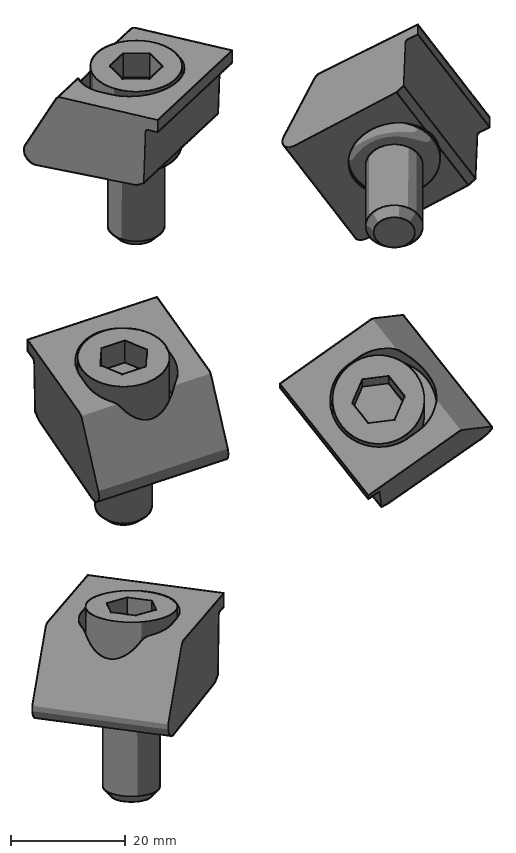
import cadquery as cq


head_diameter = 16.0
head_top = 35.0
head_height = 10.0
shank_diameter = 10.0
tip_chamfer_width = 1.4
tip_chamfer_height = 1.58
hex_across_flats = 8.0
hex_depth = 5.0
head_bottom = head_top - head_height

washer_bottom = 17.18
washer_diameter = head_diameter
rim_radius = 1.75
washer_height = 2 * rim_radius
washer_top = washer_bottom + washer_height

clamp_width = 25.4
toe_radius = 2.35
shoulder_radius = 1.4
lip_radius = 0.63
toe_corner = (-17.1, 16.55)
shoulder_corner = (-8.4, 33.0)
lip_top = (11.92, 35.05)
lip_bottom = (11.92, 32.5)
lip_root = (9.45, 32.3)
heel_upper = (9.08, 20.85)
heel_lower = (7.65, 19.95)

slot_diameter = 16.83
slot_travel = 2.17


def cylinder(diameter, bottom, top):
    """Cylinder on the screw axis between two heights."""
    return cq.Workplane("XY").workplane(offset=bottom).circle(diameter / 2).extrude(top - bottom)


def edge_at(point):
    """Selector for the edge along Y that passes through an (X, Z) point."""
    return cq.selectors.NearestToPointSelector((point[0], 0, point[1]))


def make_head_slot():
    """Round-ended slot that lets the clamp slide under the screw head."""
    return (
        cq.Workplane("XY")
        .workplane(offset=head_bottom)
        .center(-slot_travel / 2, 0)
        .slot2D(slot_diameter + slot_travel, slot_diameter)
        .extrude(head_height)
    )


def make_clamp():
    """Slanted clamp block with a head slot, a screw bore and a washer recess."""
    outline = [toe_corner, shoulder_corner, lip_top, lip_bottom, lip_root, heel_upper, heel_lower]
    block = cq.Workplane("XZ").polyline(outline).close().extrude(clamp_width / 2, both=True)
    roundings = [
        (toe_corner, toe_radius),
        (shoulder_corner, shoulder_radius),
        (lip_root, lip_radius),
    ]
    for corner, radius in roundings:
        block = block.edges("|Y").edges(edge_at(corner)).fillet(radius)
    bore = cylinder(shank_diameter, washer_bottom, head_top)
    washer_recess = cylinder(washer_diameter, toe_corner[1], washer_top)
    return block.cut(make_head_slot()).cut(bore).cut(washer_recess)


def make_screw():
    """Socket head screw with a conical tip."""
    head_radius = head_diameter / 2
    shank_radius = shank_diameter / 2
    profile = [
        (0, 0),
        (shank_radius - tip_chamfer_width, 0),
        (shank_radius, tip_chamfer_height),
        (shank_radius, head_bottom),
        (head_radius, head_bottom),
        (head_radius, head_top),
        (0, head_top),
    ]
    body = cq.Workplane("XZ").polyline(profile).close().revolve(360, (0, 0), (0, 1))
    socket = (
        cq.Workplane("XY")
        .workplane(offset=head_top - hex_depth)
        .polygon(6, hex_across_flats, circumscribed=True)
        .extrude(hex_depth)
    )
    return body.cut(socket)


def make_washer():
    """Washer whose rim is a half circle in section."""
    bore_radius = shank_diameter / 2
    rim_start = washer_diameter / 2 - rim_radius
    return (
        cq.Workplane("XZ")
        .moveTo(bore_radius, washer_bottom)
        .lineTo(rim_start, washer_bottom)
        .threePointArc((washer_diameter / 2, washer_bottom + rim_radius), (rim_start, washer_top))
        .lineTo(bore_radius, washer_top)
        .close()
        .revolve(360, (0, 0), (0, 1))
    )


clamp = make_clamp()
screw = make_screw()
washer = make_washer()

result = cq.Compound.makeCompound([clamp.val(), screw.val(), washer.val()])